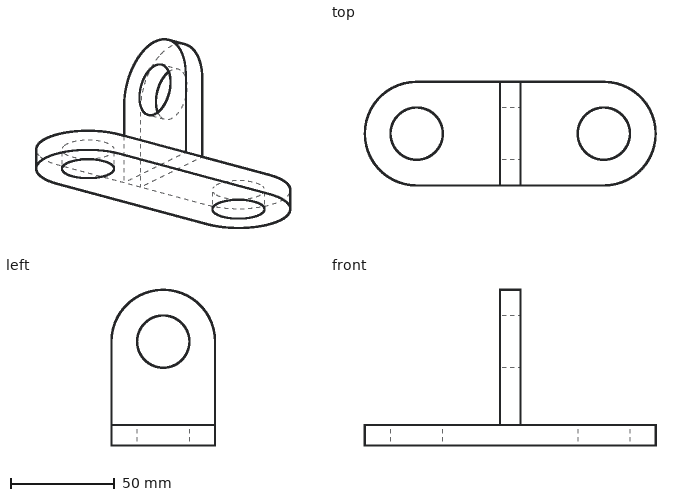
import cadquery as cq

length = 140.0
width = 50.0
height = 75.0
thickness = 10.0
hole_diameter = 25.0

end_radius = width / 2
hole_spacing = length - width
eye_height = height - end_radius


def make_base():
    """Flat plate with round ends and a hole concentric with each end."""
    plate = cq.Workplane("XY").slot2D(length, width).extrude(thickness)
    return (
        plate.faces(">Z").workplane()
        .rarray(hole_spacing, 1.4, 2, 1)
        .hole(hole_diameter)
    )


def make_upright():
    """Round-topped lug standing across the middle of the base, with an eye."""
    lug = (
        cq.Workplane("YZ", origin=(-thickness / 2, 0, 0))
        .moveTo(-end_radius, thickness)
        .lineTo(end_radius, thickness)
        .lineTo(end_radius, eye_height)
        .threePointArc((0, height), (-end_radius, eye_height))
        .close()
        .extrude(thickness)
    )
    eye = (
        cq.Workplane("YZ", origin=(-thickness / 2, 0, 0))
        .center(0, eye_height)
        .circle(hole_diameter / 2)
        .extrude(thickness)
    )
    return lug.cut(eye)


base = make_base()
upright = make_upright()

result = cq.Compound.makeCompound([base.val(), upright.val()])